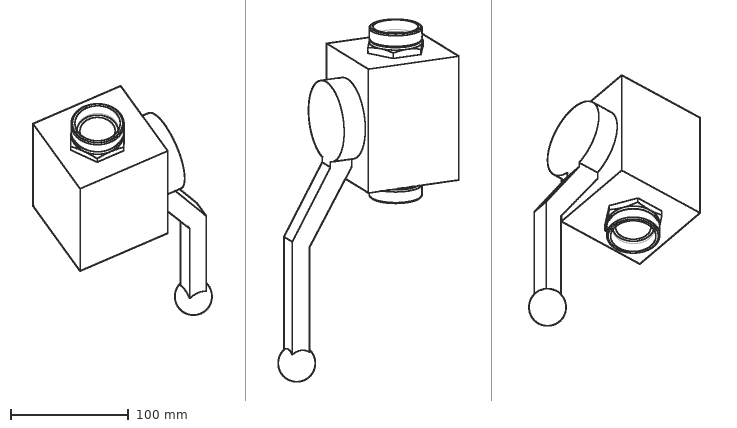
import cadquery as cq
import math

block_width = 82.0
block_height = 110.0
block_front = 40.0
block_back = 45.5

cap_diameter = 70.0
cap_thickness = 20.0
cap_back = block_back + cap_thickness

fitting_length = 20.3
hex_flats = 45.0
hex_height = 6.5
hex_chamfer_angle = 25
neck_diameter = 42.7
neck_height = 8.2
collar_start = 9.7
collar_diameter = 45.0
collar_chamfer = 1.2

bore_diameter = 30.0
seat_diameter = 35.0
seat_depth = 10.3
taper_depth = 8.0
taper_angle = 12

handle_width = 16.3
handle_back = 101.3
handle_front = handle_back - handle_width
handle_top = -cap_diameter / 4
crank_top_back = -38.7
crank_top_front = -41.0
crank_bottom_back = -100.0
crank_bottom_front = -107.0
ball_diameter = 31.8
ball_radius = ball_diameter / 2
handle_bottom = -227.2
ball_y = handle_back - handle_width / 2
ball_z = handle_bottom + ball_radius


def make_block():
    depth = block_front + block_back
    block = cq.Workplane("XY").box(block_width, depth, block_height)
    return block.translate((0, (block_back - block_front) / 2, 0))


def make_cap():
    cap = cq.Workplane("XZ", origin=(0, block_back, 0)).circle(cap_diameter / 2)
    return cap.extrude(-cap_thickness)


def revolve_about_bore(profile):
    """Revolve a closed (radius, height) profile about the Z axis."""
    return cq.Workplane("XZ").polyline(profile).close().revolve(360, (0, 0, 0), (0, 1, 0))


def make_hex():
    """Hexagon with corners on Y, its outer edge turned to a shallow cone."""
    flat_radius = hex_flats / 2
    corner_radius = flat_radius / math.cos(math.radians(30))
    corner_drop = (corner_radius - flat_radius) * math.tan(math.radians(hex_chamfer_angle))
    prism = cq.Workplane("XY").polygon(6, 2 * corner_radius).extrude(hex_height)
    prism = prism.rotate((0, 0, 0), (0, 0, 1), 30)
    envelope = revolve_about_bore([
        (0, 0),
        (corner_radius, 0),
        (corner_radius, hex_height - corner_drop),
        (flat_radius, hex_height),
        (0, hex_height),
    ])
    return prism.intersect(envelope)


def make_fitting():
    """One fitting, standing on z = 0 and pointing up."""
    neck_radius = neck_diameter / 2
    collar_radius = collar_diameter / 2
    stem = revolve_about_bore([
        (0, 0),
        (neck_radius, 0),
        (hex_flats / 2, hex_height),
        (neck_radius, neck_height),
        (collar_radius, collar_start),
        (collar_radius, fitting_length - collar_chamfer),
        (collar_radius - collar_chamfer, fitting_length),
        (0, fitting_length),
    ])
    return make_hex().union(stem)


def make_seat():
    """Cutter for the tube seat of the upward-pointing fitting."""
    seat_radius = seat_diameter / 2
    mouth_radius = seat_radius + taper_depth * math.tan(math.radians(taper_angle))
    return revolve_about_bore([
        (0, fitting_length - seat_depth),
        (seat_radius, fitting_length - seat_depth),
        (seat_radius, fitting_length - taper_depth),
        (mouth_radius, fitting_length),
        (0, fitting_length),
    ])


def at_both_ends(upper_shape):
    """Place a shape on the top face of the block and mirror it below."""
    upper = upper_shape.translate((0, 0, block_height / 2))
    return upper, upper.mirror("XY")


def make_handle():
    side_outline = [
        (block_back, handle_top),
        (cap_back, handle_top),
        (cap_back, crank_top_back),
        (handle_back, crank_bottom_back),
        (handle_back, ball_z),
        (handle_front, ball_z),
        (handle_front, crank_bottom_front),
        (block_back, crank_top_front),
    ]
    bar = cq.Workplane("YZ").polyline(side_outline).close().extrude(handle_width / 2, both=True)
    ball = cq.Workplane("XY").sphere(ball_radius).translate((0, ball_y, ball_z))
    return bar.union(ball)


result = make_block().union(make_cap()).union(make_handle())
for fitting in at_both_ends(make_fitting()):
    result = result.union(fitting)
for seat in at_both_ends(make_seat()):
    result = result.cut(seat)

bore_length = block_height + 2 * fitting_length
bore = cq.Workplane("XY").circle(bore_diameter / 2).extrude(bore_length / 2, both=True)
result = result.cut(bore)